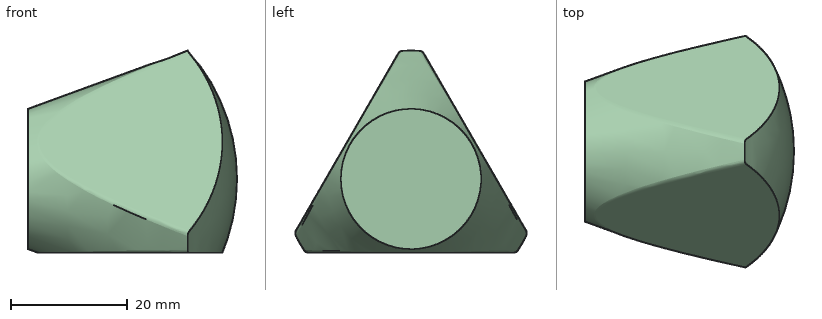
import cadquery as cq
import math

length = 35.8
base_radius = 12.0
corner_radius = 22.0
rim_x = 27.35
flat_distance = 12.65
edge_radius = 1.0
flat_count = 3

dome_height = length - rim_x
dome_radius = (corner_radius**2 + dome_height**2) / (2 * dome_height)
half_angle = math.asin(corner_radius / dome_radius) / 2
dome_mid = (
    length - dome_radius * (1 - math.cos(half_angle)),
    dome_radius * math.sin(half_angle),
)


def make_body():
    """Cone with a spherical dome, turned about the X axis."""
    return (
        cq.Workplane("XY")
        .lineTo(0, base_radius)
        .lineTo(rim_x, corner_radius)
        .threePointArc(dome_mid, (length, 0))
        .close()
        .revolve(360, (0, 0), (1, 0))
    )


def make_prism():
    """Triangular prism along X with one flat facing -Z and an edge up."""
    circumscribed_diameter = 4 * flat_distance
    return (
        cq.Workplane("YZ")
        .transformed(rotate=(0, 0, 90))
        .polygon(flat_count, circumscribed_diameter)
        .extrude(length)
    )


def round_flat_edges(body):
    """Round the curved edges where the flats meet the cone."""
    cone_edges = body.faces("%CONE").edges("%HYPERBOLA")
    return cone_edges.fillet(edge_radius)


result = round_flat_edges(make_body().intersect(make_prism()))